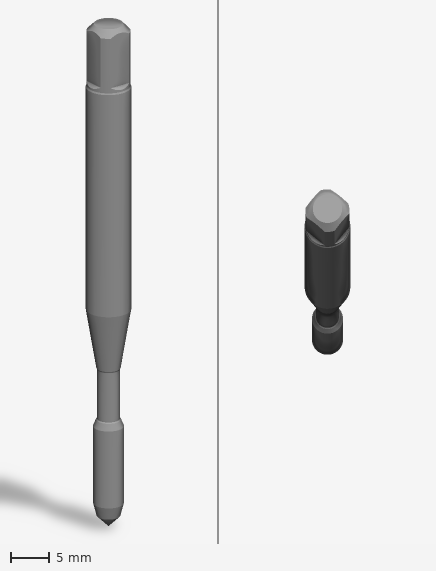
import cadquery as cq

TOTAL_LENGTH = 71.35
POINT_HEIGHT = 1.6
LEAD_TOP = 3.35
THREAD_TOP = 14.3
SHOULDER_TOP = 15.2
HEAD_TOP = 15.35
NECK_TOP = 22.3
TAPER_BOTTOM = 22.55
TAPER_TOP = 30.9
COLLAR_BOTTOM = 62.45
COLLAR_TOP = 62.65

SHANK_DIAMETER = 6.0
DRIVE_DIAMETER = 5.8
DRIVE_END_DIAMETER = 3.85
TAPER_END_DIAMETER = 3.2
NECK_DIAMETER = 3.0
HEAD_DIAMETER = 4.1
SHOULDER_DIAMETER = 3.3
POINT_DIAMETER = 2 * POINT_HEIGHT

ACROSS_FLATS = 4.9
FLAT_LENGTH = 8.0
FLAT_COUNT = 4


def turned(profile):
    """Revolve (diameter, height) points, listed from bottom to top, about Z."""
    bottom = profile[0][1]
    top = profile[-1][1]
    outline = [(0, bottom)]
    outline += [(diameter / 2, height) for diameter, height in profile if diameter > 0]
    outline.append((0, top))
    return cq.Workplane("XZ").polyline(outline).close().revolve(360, (0, 0), (0, 1))


def flat_cutter():
    """Prism outside the +X drive flat, with a 45 degree run-out at its foot."""
    flat_x = ACROSS_FLATS / 2
    outer_x = SHANK_DIAMETER / 2
    foot = TOTAL_LENGTH - FLAT_LENGTH
    outline = [
        (flat_x, TOTAL_LENGTH),
        (flat_x, foot),
        (outer_x, foot - (outer_x - flat_x)),
        (outer_x, TOTAL_LENGTH),
    ]
    return cq.Workplane("XZ").polyline(outline).close().extrude(SHANK_DIAMETER / 2, both=True)


def make_shank():
    """Neck, taper and cylindrical shank with a square drive end."""
    end_chamfer = (DRIVE_DIAMETER - DRIVE_END_DIAMETER) / 2
    body = turned([
        (NECK_DIAMETER, HEAD_TOP),
        (NECK_DIAMETER, NECK_TOP),
        (TAPER_END_DIAMETER, TAPER_BOTTOM),
        (SHANK_DIAMETER, TAPER_TOP),
        (SHANK_DIAMETER, COLLAR_BOTTOM),
        (DRIVE_DIAMETER, COLLAR_TOP),
        (DRIVE_DIAMETER, TOTAL_LENGTH - end_chamfer),
        (DRIVE_END_DIAMETER, TOTAL_LENGTH),
    ])
    for index in range(FLAT_COUNT):
        angle = index * 360 / FLAT_COUNT
        body = body.cut(flat_cutter().rotate((0, 0, 0), (0, 0, 1), angle))
    return body


def make_cutting_head():
    """Threading head as a plain cylinder with a tapered lead and a conical point."""
    return turned([
        (0, 0),
        (POINT_DIAMETER, POINT_HEIGHT),
        (HEAD_DIAMETER, LEAD_TOP),
        (HEAD_DIAMETER, THREAD_TOP),
        (SHOULDER_DIAMETER, SHOULDER_TOP),
        (NECK_DIAMETER, HEAD_TOP),
    ])


shank = make_shank()
cutting_head = make_cutting_head()

result = cq.Compound.makeCompound([shank.val(), cutting_head.val()])